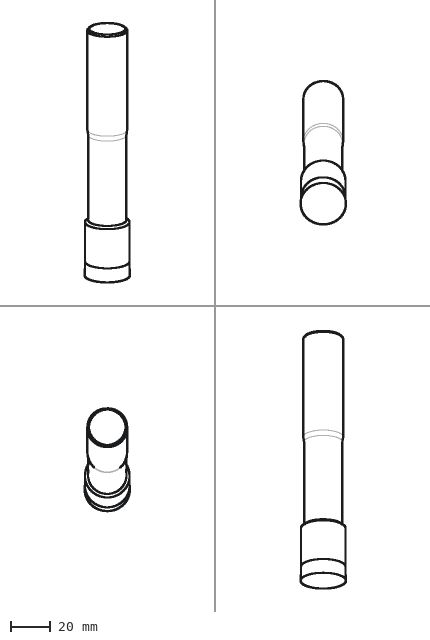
import cadquery as cq

TOTAL_LENGTH = 130.2
TIP_HEIGHT = 7.4
HEAD_TOP = 28.1
NECK_BOTTOM = 29.3
NECK_TOP = 74.1
SHANK_BOTTOM = 76.8

FLARE_DIAMETER = 22.8
HEAD_DIAMETER = 22.4
NECK_DIAMETER = 19.3
SHANK_DIAMETER = 20.0

END_BEVEL = 0.9

head_radius = HEAD_DIAMETER / 2
flare_radius = FLARE_DIAMETER / 2
neck_radius = NECK_DIAMETER / 2
shank_radius = SHANK_DIAMETER / 2

flare_width = flare_radius - head_radius
flare_arc_radius = (TIP_HEIGHT**2 + flare_width**2) / (2 * flare_width)


def revolve_about_z(profile):
    """Turn a closed radius-height profile around the Z axis."""
    return profile.revolve(360, (0, 0, 0), (0, 1, 0))


def make_tip():
    """Disc with a concave side, upright at the head and flaring to the bottom."""
    profile = (
        cq.Workplane("XZ")
        .moveTo(0, 0)
        .lineTo(0, TIP_HEIGHT)
        .lineTo(head_radius, TIP_HEIGHT)
        .radiusArc((flare_radius, 0), -flare_arc_radius)
        .close()
    )
    return revolve_about_z(profile)


def make_holder():
    """Head, sloped shoulder, slim neck and bevelled shank above the tip."""
    profile = (
        cq.Workplane("XZ")
        .moveTo(0, TIP_HEIGHT)
        .lineTo(head_radius, TIP_HEIGHT)
        .lineTo(head_radius, HEAD_TOP)
        .lineTo(neck_radius, NECK_BOTTOM)
        .lineTo(neck_radius, NECK_TOP)
        .lineTo(shank_radius, SHANK_BOTTOM)
        .lineTo(shank_radius, TOTAL_LENGTH - END_BEVEL)
        .lineTo(shank_radius - END_BEVEL, TOTAL_LENGTH)
        .lineTo(0, TOTAL_LENGTH)
        .close()
    )
    return revolve_about_z(profile)


tip = make_tip()
holder = make_holder()

result = cq.Compound.makeCompound([tip.val(), holder.val()])